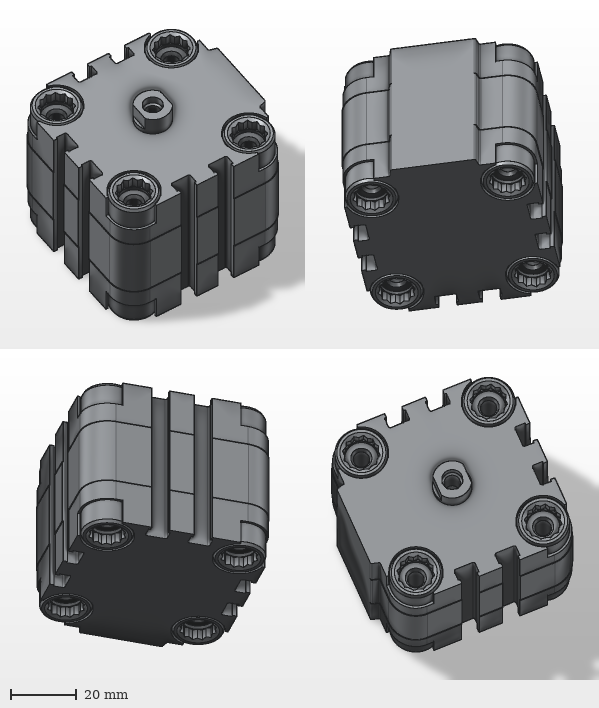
import cadquery as cq
import math

HOUSING_HEIGHT = 50.5
CAP_HEIGHT = 14.5
BARREL_HEIGHT = HOUSING_HEIGHT - 2 * CAP_HEIGHT
BARREL_HALF_WIDTH = 30
CAP_INSET = 0.25
SCREW_OFFSET = 21.0

RIB_FACE_Y = 32.5
RIB_TOP_HALF_WIDTH = 13.3
RIB_BASE_HALF_WIDTH = 14.0
RIB_ROUND = 0.5

SLOT_OFFSET = 6.75
SLOT_NECK_HALF_WIDTH = 2.8
SLOT_INNER_HALF_WIDTH = 3.45
SLOT_FLOOR = 24.9
SLOT_LIP = 28.4
SLOT_MOUTH_ROUND = 0.1
SLOT_FLOOR_ROUND = 0.6
SLOT_FACE_ANGLES = (-90, 0, 90)

CORNER_CUT_START = 18.75
CORNER_CUT_DEPTH = 8.0
BOSS_RADIUS = 16.0 / 2
BOSS_GAP = 0.25
BOSS_CHAMFER_WIDTH = 0.55
BOSS_CHAMFER_HEIGHT = 1.0
COUNTERSINK_RADIUS = 6.5
COUNTERSINK_SLOPE = 30
SOCKET_FLAT_RADIUS = 4.95
HEXAGON_TURN = 30
SOCKET_DEPTH = 4.0
COUNTERBORE_RADIUS = 10.1 / 2
COUNTERBORE_DEPTH = 5.2
SCREW_HOLE_RADIUS = 4.95 / 2
SCREW_HOLE_MOUTH_RADIUS = 6.4 / 2
SCREW_HOLE_MOUTH_DEPTH = 1.25

ROD_RADIUS = 12.0 / 2
ROD_PROJECTION = 6.5
ROD_SEAT_DEPTH = CAP_HEIGHT
FLAT_HALF_WIDTH = 5
FLAT_HEIGHT = 4.8
ROD_MOUTH_RADIUS = 6.4 / 2
ROD_MOUTH_DEPTH = 2.6
ROD_HOLE_RADIUS = 4.95 / 2
ROD_HOLE_DEPTH = 12.5
DRILL_SLOPE = 30


def revolve_about_z(half_profile):
    """Solid of revolution from (radius, z) points."""
    return cq.Workplane("XZ").polyline(half_profile).close().revolve(360, (0, 0), (0, 1))


def rib(inset, height):
    """Tapered rib on the +Y face, with its two outer corners rounded and its flanks moved in by inset."""
    taper = (RIB_BASE_HALF_WIDTH - RIB_TOP_HALF_WIDTH) / (RIB_FACE_Y - BARREL_HALF_WIDTH)
    top_half_width = RIB_TOP_HALF_WIDTH - inset
    root_half_width = top_half_width + taper * RIB_FACE_Y
    outline = [
        (-root_half_width, 0),
        (root_half_width, 0),
        (top_half_width, RIB_FACE_Y),
        (-top_half_width, RIB_FACE_Y),
    ]
    block = cq.Workplane("XY").polyline(outline).close().extrude(height)
    return block.faces(">Y").edges("|Z").fillet(RIB_ROUND)


def slot(face, height):
    """T-slot cutter, open at y = -face, with a rounded mouth."""
    mouth_half_width = SLOT_NECK_HALF_WIDTH + SLOT_MOUTH_ROUND
    cutter = (
        cq.Workplane("XY")
        .moveTo(-mouth_half_width, -face)
        .radiusArc((-SLOT_NECK_HALF_WIDTH, -face + SLOT_MOUTH_ROUND), SLOT_MOUTH_ROUND)
        .lineTo(-SLOT_NECK_HALF_WIDTH, -SLOT_LIP)
        .lineTo(-SLOT_INNER_HALF_WIDTH, -SLOT_LIP)
        .lineTo(-SLOT_INNER_HALF_WIDTH, -SLOT_FLOOR)
        .lineTo(SLOT_INNER_HALF_WIDTH, -SLOT_FLOOR)
        .lineTo(SLOT_INNER_HALF_WIDTH, -SLOT_LIP)
        .lineTo(SLOT_NECK_HALF_WIDTH, -SLOT_LIP)
        .lineTo(SLOT_NECK_HALF_WIDTH, -face + SLOT_MOUTH_ROUND)
        .radiusArc((mouth_half_width, -face), SLOT_MOUTH_ROUND)
        .close()
        .extrude(height)
    )
    return cutter.faces(">Y").edges("|Z").fillet(SLOT_FLOOR_ROUND)


def section(inset, height):
    """One length of the housing extrusion, standing on z = 0, inset from the barrel outline."""
    half_width = BARREL_HALF_WIDTH - inset
    width = 2 * half_width
    body = (
        cq.Workplane("XY")
        .rect(width, width)
        .extrude(height)
        .edges("|Z")
        .fillet(half_width - SCREW_OFFSET)
        .union(rib(inset, height))
    )
    rib_root = cq.selectors.BoxSelector(
        (-RIB_BASE_HALF_WIDTH - RIB_ROUND, half_width - RIB_ROUND, 0),
        (RIB_BASE_HALF_WIDTH + RIB_ROUND, half_width + RIB_ROUND, height),
    )
    body = body.edges("|Z").edges(rib_root).fillet(RIB_ROUND)
    for angle in SLOT_FACE_ANGLES:
        for offset in (-SLOT_OFFSET, SLOT_OFFSET):
            cutter = slot(half_width, height).translate((offset, 0, 0))
            body = body.cut(cutter.rotate((0, 0, 0), (0, 0, 1), angle))
    return body


def corner_clearance():
    """Cutter for the (+X, +Y) corner of a cap, hanging below z = 0."""
    side = BARREL_HALF_WIDTH - CORNER_CUT_START
    block = cq.Workplane("XY").box(side, side, CORNER_CUT_DEPTH, centered=False)
    pocket = cq.Workplane("XY").circle(BOSS_RADIUS + BOSS_GAP).extrude(CORNER_CUT_DEPTH)
    block_shift = CORNER_CUT_START - SCREW_OFFSET
    cutter = block.translate((block_shift, block_shift, 0)).union(pocket)
    return cutter.translate((SCREW_OFFSET, SCREW_OFFSET, -CORNER_CUT_DEPTH))


def corner_boss():
    """Chamfered boss in the (+X, +Y) corner, with its top at z = 0."""
    boss = revolve_about_z([
        (0, -CORNER_CUT_DEPTH),
        (BOSS_RADIUS, -CORNER_CUT_DEPTH),
        (BOSS_RADIUS, -BOSS_CHAMFER_HEIGHT),
        (BOSS_RADIUS - BOSS_CHAMFER_WIDTH, 0),
        (0, 0),
    ])
    return boss.translate((SCREW_OFFSET, SCREW_OFFSET, 0))


def screw_socket():
    """Cutter for the socket and screw hole, from z = 0 to half the housing height."""
    cone_depth = COUNTERSINK_RADIUS * math.tan(math.radians(COUNTERSINK_SLOPE))
    countersink = revolve_about_z([(0, 0), (COUNTERSINK_RADIUS, 0), (0, -cone_depth)])
    bore = revolve_about_z([
        (0, 0),
        (COUNTERBORE_RADIUS, 0),
        (COUNTERBORE_RADIUS, -COUNTERBORE_DEPTH),
        (SCREW_HOLE_MOUTH_RADIUS, -COUNTERBORE_DEPTH),
        (SCREW_HOLE_RADIUS, -COUNTERBORE_DEPTH - SCREW_HOLE_MOUTH_DEPTH),
        (SCREW_HOLE_RADIUS, -HOUSING_HEIGHT / 2),
        (0, -HOUSING_HEIGHT / 2),
    ])
    cutter = bore.union(countersink)
    hexagon_diameter = 2 * SOCKET_FLAT_RADIUS / math.cos(math.radians(HEXAGON_TURN))
    for turn in (0, HEXAGON_TURN):
        hexagon = cq.Workplane("XY").polygon(6, hexagon_diameter).extrude(-SOCKET_DEPTH)
        cutter = cutter.union(hexagon.rotate((0, 0, 0), (0, 0, 1), turn))
    return cutter.translate((SCREW_OFFSET, SCREW_OFFSET, 0))


def at_all_corners(corner_shape):
    """Copies of a (+X, +Y) corner shape at the four corners of both housing ends."""
    upper = corner_shape.translate((0, 0, HOUSING_HEIGHT / 2))
    copies = []
    for end in (upper, upper.mirror("XY")):
        for half in (end, end.mirror("YZ")):
            for copy in (half, half.mirror("XZ")):
                copies.append(copy.translate((0, 0, HOUSING_HEIGHT / 2)))
    return copies


def make_housing():
    cap = section(CAP_INSET, CAP_HEIGHT)
    barrel = section(0, BARREL_HEIGHT).translate((0, 0, CAP_HEIGHT))
    upper_cap = cap.translate((0, 0, CAP_HEIGHT + BARREL_HEIGHT))
    body = cap.union(barrel).union(upper_cap)
    for clearance in at_all_corners(corner_clearance()):
        body = body.cut(clearance)
    for boss in at_all_corners(corner_boss()):
        body = body.union(boss)
    for socket in at_all_corners(screw_socket()):
        body = body.cut(socket)
    rod_seat = (
        cq.Workplane("XY")
        .workplane(offset=HOUSING_HEIGHT - ROD_SEAT_DEPTH)
        .circle(ROD_RADIUS)
        .extrude(ROD_SEAT_DEPTH)
    )
    return body.cut(rod_seat)


def rod_hole():
    """Stepped, drilled hole cutter, with its mouth at z = 0."""
    slope = math.tan(math.radians(DRILL_SLOPE))
    step_height = (ROD_MOUTH_RADIUS - ROD_HOLE_RADIUS) * slope
    tip_height = ROD_HOLE_RADIUS * slope
    return revolve_about_z([
        (0, 0),
        (ROD_MOUTH_RADIUS, 0),
        (ROD_MOUTH_RADIUS, -ROD_MOUTH_DEPTH),
        (ROD_HOLE_RADIUS, -ROD_MOUTH_DEPTH - step_height),
        (ROD_HOLE_RADIUS, -ROD_HOLE_DEPTH),
        (0, -ROD_HOLE_DEPTH - tip_height),
    ])


def make_rod():
    length = ROD_SEAT_DEPTH + ROD_PROJECTION
    body = cq.Workplane("XY").circle(ROD_RADIUS).extrude(-length)
    flat_depth = ROD_RADIUS - FLAT_HALF_WIDTH
    for side in (-1, 1):
        flat = (
            cq.Workplane("XY")
            .center(0, side * (FLAT_HALF_WIDTH + flat_depth / 2))
            .rect(2 * ROD_RADIUS, flat_depth)
            .extrude(-FLAT_HEIGHT)
        )
        body = body.cut(flat)
    return body.cut(rod_hole()).translate((0, 0, HOUSING_HEIGHT + ROD_PROJECTION))


housing = make_housing()
rod = make_rod()

result = cq.Compound.makeCompound([housing.solids().val(), rod.solids().val()])